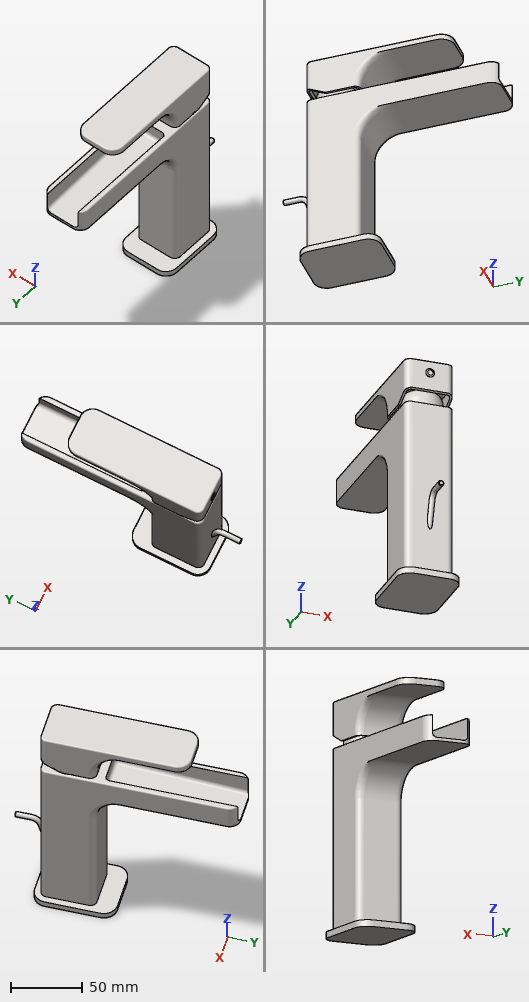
import cadquery as cq
import math


WIDTH = 36.0
HALF_WIDTH = WIDTH / 2
COLUMN_DEPTH = 40.5
CORNER_RADIUS = 4.9
SPOUT_LENGTH = 143.9
SPOUT_TOP = 136.0
SPOUT_BOTTOM = 117.4
SPOUT_TIP_RADIUS = 8.3
UNDERSIDE_RADIUS = 23.2
TOP_EDGE_RADIUS = 1.2

CHANNEL_WIDTH = 27.7
CHANNEL_TIP_DEPTH = 16.2
CHANNEL_END_DEPTH = 11.3
CHANNEL_END = 46.5
CHANNEL_CORNER_RADIUS = 3.4
CHANNEL_FLOOR_RADIUS = 3.0

BASE_HEIGHT = 4.7
BASE_WIDTH = 46.0
BASE_LENGTH = 60.0
BASE_REAR = -4.7
BASE_MARGIN = (BASE_WIDTH - WIDTH) / 2
BASE_CORNER_RADIUS = CORNER_RADIUS + BASE_MARGIN

COLLAR_RADIUS = 15.7
COLLAR_Y = 18.3
COLLAR_WALL_TOP = 142.2
COLLAR_SHOULDER_RADIUS = 8.5
COLLAR_TOP = COLLAR_WALL_TOP + COLLAR_SHOULDER_RADIUS

HANDLE_TOP = 169.1
HANDLE_THICKNESS = 4.9
HANDLE_LENGTH = 107.9
HANDLE_BOTTOM = 139.0
HANDLE_TIP_RADIUS = 10.0
HANDLE_WALL = 1.7
BEVEL_LENGTH = 15.4
BEVEL_HEIGHT = 7.5

BUTTON_RADIUS = 3.2
BUTTON_Z = 159.8
BUTTON_HEIGHT = 0.7
BUTTON_BEVEL_HEIGHT = 0.5
BUTTON_BEVEL_WIDTH = 1.2

ROD_RADIUS = 2.0
ROD_Z = 64.6
ROD_END = -22.2
ROD_BEND_START = -10.7
ROD_BEND_RADIUS = 7.1
ROD_TILT = 16.0
ROD_CHAMFER = 0.5
ROD_OVERRUN = 5.0


def clearance_under_arm(bottom, arm_bottom):
    """Space in front of a post and below its arm.

    The post's rounded front outline is carried along a quarter arc, so the corner
    rounding runs out smoothly into the sharp lower edges of the arm.
    """
    arc_start = arm_bottom - UNDERSIDE_RADIUS
    shoulder = COLUMN_DEPTH - CORNER_RADIUS
    flat = HALF_WIDTH - CORNER_RADIUS
    side = WIDTH
    front = 2 * SPOUT_LENGTH
    half_way = math.sqrt(0.5)
    corner_x = flat + CORNER_RADIUS * half_way
    corner_y = shoulder + CORNER_RADIUS * half_way

    def outline(height):
        return (
            cq.Workplane("XY", origin=(0, 0, height))
            .moveTo(-side, shoulder)
            .lineTo(-HALF_WIDTH, shoulder)
            .threePointArc((-corner_x, corner_y), (-flat, COLUMN_DEPTH))
            .lineTo(flat, COLUMN_DEPTH)
            .threePointArc((corner_x, corner_y), (HALF_WIDTH, shoulder))
            .lineTo(side, shoulder)
            .lineTo(side, front)
            .lineTo(-side, front)
            .close()
        )

    path = (
        cq.Workplane("YZ")
        .moveTo(COLUMN_DEPTH, arc_start)
        .threePointArc(
            (
                COLUMN_DEPTH + UNDERSIDE_RADIUS * (1 - half_way),
                arc_start + UNDERSIDE_RADIUS * half_way,
            ),
            (COLUMN_DEPTH + UNDERSIDE_RADIUS, arm_bottom),
        )
    )
    straight = outline(bottom).extrude(arc_start - bottom)
    curved = outline(arc_start).sweep(path, normal=(0, 0, 1))
    return straight, curved


def arm_on_post(length, bottom, arm_bottom, top, tip_radius):
    """Upright post with a flat arm reaching forward from its top."""
    shape = (
        cq.Workplane("XY", origin=(0, 0, bottom))
        .box(WIDTH, length, top - bottom, centered=(True, False, False))
        .edges("|Z and <Y").fillet(CORNER_RADIUS)
        .edges("|Z and >Y").fillet(tip_radius)
    )
    for space in clearance_under_arm(bottom, arm_bottom):
        shape = shape.cut(space)
    return shape.faces(">Z").edges().fillet(TOP_EDGE_RADIUS)


def make_base():
    """Flat foot plate under the column, longer towards the spout."""
    return (
        cq.Workplane("XY", origin=(0, BASE_REAR, 0))
        .box(BASE_WIDTH, BASE_LENGTH, BASE_HEIGHT, centered=(True, False, False))
        .edges("|Z").fillet(BASE_CORNER_RADIUS)
    )


def make_body():
    """Column and spout, with an open water channel running out through the spout tip."""
    body = arm_on_post(SPOUT_LENGTH, BASE_HEIGHT, SPOUT_BOTTOM, SPOUT_TOP, SPOUT_TIP_RADIUS)
    tip_floor = SPOUT_TOP - CHANNEL_TIP_DEPTH
    end_floor = SPOUT_TOP - CHANNEL_END_DEPTH
    channel = (
        cq.Workplane("YZ")
        .moveTo(CHANNEL_END, HANDLE_TOP)
        .lineTo(CHANNEL_END, end_floor)
        .lineTo(SPOUT_LENGTH, tip_floor)
        .lineTo(SPOUT_LENGTH, HANDLE_TOP)
        .close()
        .extrude(CHANNEL_WIDTH / 2, both=True)
        .edges("|Z and <Y").fillet(CHANNEL_CORNER_RADIUS)
        .faces("<Z").edges("not >Y").fillet(CHANNEL_FLOOR_RADIUS)
    )
    return body.cut(channel)


def make_collar():
    """Round cartridge cover standing on the column, with a rounded shoulder."""
    return (
        cq.Workplane("XY", origin=(0, COLLAR_Y, SPOUT_TOP))
        .circle(COLLAR_RADIUS)
        .extrude(COLLAR_TOP - SPOUT_TOP)
        .faces(">Z").edges().fillet(COLLAR_SHOULDER_RADIUS)
    )


def make_handle():
    """Lever whose hollow foot rests on the collar, with a bevelled rear and a marker button."""
    handle = arm_on_post(
        HANDLE_LENGTH, HANDLE_BOTTOM, HANDLE_TOP - HANDLE_THICKNESS, HANDLE_TOP, HANDLE_TIP_RADIUS
    )
    pocket = (
        cq.Workplane("XY", origin=(0, HANDLE_WALL, HANDLE_BOTTOM))
        .box(
            WIDTH - 2 * HANDLE_WALL,
            COLUMN_DEPTH - 2 * HANDLE_WALL,
            COLLAR_TOP - HANDLE_BOTTOM,
            centered=(True, False, False),
        )
        .edges("|Z").fillet(CORNER_RADIUS - HANDLE_WALL)
    )
    bevel = (
        cq.Workplane("YZ", origin=(-HALF_WIDTH, 0, 0))
        .moveTo(0, HANDLE_BOTTOM)
        .lineTo(BEVEL_LENGTH, HANDLE_BOTTOM)
        .lineTo(0, HANDLE_BOTTOM + BEVEL_HEIGHT)
        .close()
        .extrude(WIDTH)
    )
    button = (
        cq.Workplane("XZ", origin=(0, 0, BUTTON_Z))
        .circle(BUTTON_RADIUS)
        .extrude(BUTTON_HEIGHT)
        .faces("<Y").edges().chamfer(BUTTON_BEVEL_HEIGHT, BUTTON_BEVEL_WIDTH)
    )
    return handle.cut(pocket).cut(bevel).union(button)


def make_rod():
    """Bent lift rod that leans against the rear face of the column and ends flush with it."""
    turn = math.radians(90 - ROD_TILT)
    middle = turn / 2
    bend_center_z = ROD_Z - ROD_BEND_RADIUS
    bend_end_y = ROD_BEND_START + ROD_BEND_RADIUS * math.sin(turn)
    bend_end_z = bend_center_z + ROD_BEND_RADIUS * math.cos(turn)
    drop = (ROD_OVERRUN - bend_end_y) / math.tan(math.radians(ROD_TILT))
    path = (
        cq.Workplane("YZ")
        .moveTo(ROD_END, ROD_Z)
        .lineTo(ROD_BEND_START, ROD_Z)
        .threePointArc(
            (
                ROD_BEND_START + ROD_BEND_RADIUS * math.sin(middle),
                bend_center_z + ROD_BEND_RADIUS * math.cos(middle),
            ),
            (bend_end_y, bend_end_z),
        )
        .lineTo(ROD_OVERRUN, bend_end_z - drop)
    )
    rod = cq.Workplane("XZ", origin=(0, ROD_END, ROD_Z)).circle(ROD_RADIUS).sweep(path)
    inside_column = cq.Workplane("XY").box(
        WIDTH, -ROD_END, SPOUT_TOP, centered=(True, False, False)
    )
    return rod.cut(inside_column).faces("<Y").edges().chamfer(ROD_CHAMFER)


base = make_base()
body = make_body()
collar = make_collar()
handle = make_handle()
rod = make_rod()

result = cq.Compound.makeCompound(
    [base.val(), body.val(), collar.val(), handle.val(), rod.val()]
)